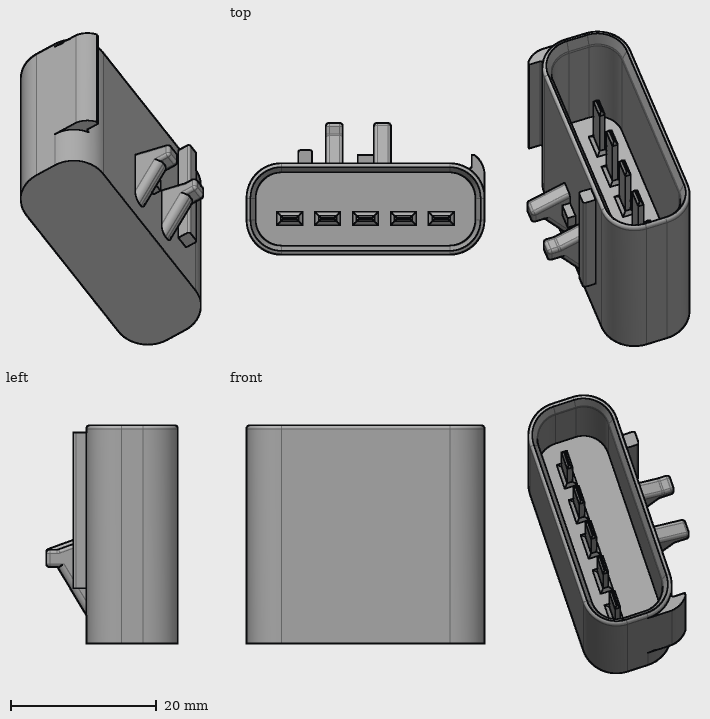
import cadquery as cq
import math

LENGTH = 32.7
DEPTH = 12.6
HEIGHT = 30.0
CORNER_RADIUS = 4.8
WALL = 1.28
RIM_RADIUS = 0.5
FLOOR_Z = 10.0
BACK_Y = DEPTH / 2

LEAD_IN_WIDTH = 0.72
LEAD_IN_HEIGHT = 1.8
LEAD_IN_BLEND = 0.98

PIN_COUNT = 5
PIN_PITCH = 5.2
PIN_Y = -1.3
PIN_LENGTH = 10.0
BLADE_SIZE = (2.5, 0.8)
TIP_BEVEL = 0.3
TIP_HEIGHT = 0.65
COLLAR_BEVEL = 0.52

ROOT_DEPTH = 0.65

GUIDE_BOTTOM_Z = 7.6
GUIDE_TOP_Z = HEIGHT - 1.0
RAIL_X = -8.27
RAIL_WIDTH = 1.93
RAIL_PROJECTION = 1.8
RAIL_EDGE_RADIUS = 0.33
WING_PROJECTION = 1.15
WING_WIDTH = 1.8
WING_TIP_WIDTH = 0.35
WING_ARC_DROP = 1.37
WING_RADIUS = 3.43
WING_ROOT_RADIUS = 0.33

ARM_WIDTH = 2.4
ARM_PROJECTION = 5.53
ARM_BOTTOM_Z = 10.5
ARM_TOP_Z = 12.9
ARM_TOP_ANGLE = 20.0
ARM_EDGE_RADIUS = 0.5
PLAIN_ARM_X = 2.32
STEPPED_ARM_X = -4.3
ARM_STEP = 3.92
ARM_STEP_BLEND = 0.75

STRUT_FOOT_Z = 3.85
STRUT_REACH = 3.95
STRUT_OVERLAP = 1.3
STRUT_EDGE_RADIUS = 0.98

KEY_WIDTH = 2.22
KEY_PROJECTION = 1.15


def rounded_outline(inset, z):
    """Rounded rectangle at height z, lying `inset` inside the shell's outline."""
    outline = cq.Sketch().rect(LENGTH - 2 * inset, DEPTH - 2 * inset)
    outline = outline.vertices().fillet(CORNER_RADIUS - inset)
    return cq.Workplane("XY", origin=(0, 0, z)).placeSketch(outline)


def make_shell():
    shell = rounded_outline(0, 0).extrude(HEIGHT)
    shell = shell.faces(">Z").edges().fillet(RIM_RADIUS)
    shell = shell.cut(rounded_outline(WALL, FLOOR_Z).extrude(HEIGHT - FLOOR_Z))

    lead_in_angle = math.degrees(math.atan(LEAD_IN_WIDTH / LEAD_IN_HEIGHT))
    mouth = rounded_outline(WALL - LEAD_IN_WIDTH, HEIGHT)
    shell = shell.cut(mouth.extrude(-LEAD_IN_HEIGHT, taper=lead_in_angle))

    lead_in_z = HEIGHT - LEAD_IN_HEIGHT
    margin = RIM_RADIUS / 10
    lead_in_zone = cq.selectors.BoxSelector(
        (-LENGTH, -DEPTH, lead_in_z - margin),
        (LENGTH, DEPTH, lead_in_z + margin),
    )
    return shell.edges(lead_in_zone).fillet(LEAD_IN_BLEND)


def frustum(base, bevel, bottom_z, height):
    """Rectangular block that narrows by `bevel` on every side."""
    return (
        cq.Workplane("XY", origin=(0, 0, bottom_z))
        .rect(*base)
        .workplane(offset=height)
        .rect(base[0] - 2 * bevel, base[1] - 2 * bevel)
        .loft(ruled=True)
    )


def make_pin():
    """Flat blade with a bevelled tip and a pyramid-shaped collar at its foot."""
    straight_length = PIN_LENGTH - TIP_HEIGHT
    collar_base = [side + 2 * COLLAR_BEVEL for side in BLADE_SIZE]
    blade = cq.Workplane("XY", origin=(0, 0, FLOOR_Z)).rect(*BLADE_SIZE).extrude(straight_length)
    tip = frustum(BLADE_SIZE, TIP_BEVEL, FLOOR_Z + straight_length, TIP_HEIGHT)
    collar = frustum(collar_base, COLLAR_BEVEL, FLOOR_Z, COLLAR_BEVEL)
    return blade.union(tip).union(collar)


def back_block(left_x, width, projection, bottom_z, top_z):
    """Plain block standing out of the back wall."""
    size = (width, projection + ROOT_DEPTH, top_z - bottom_z)
    corner = (left_x, BACK_Y - ROOT_DEPTH, bottom_z)
    return cq.Workplane("XY", origin=corner).box(*size, centered=False)


def make_rail():
    left_x = RAIL_X - RAIL_WIDTH / 2
    rail = back_block(left_x, RAIL_WIDTH, RAIL_PROJECTION, GUIDE_BOTTOM_Z, GUIDE_TOP_Z)
    return rail.edges("|Z and >Y").fillet(RAIL_EDGE_RADIUS)


def add_wing(body):
    """Add the curved wing on the +X back corner and round its inner root."""
    side_x = LENGTH / 2
    inner_x = side_x - WING_WIDTH
    tip_y = BACK_Y + WING_PROJECTION
    corner_y = BACK_Y - CORNER_RADIUS
    wing = (
        cq.Workplane("XY", origin=(0, 0, GUIDE_BOTTOM_Z))
        .moveTo(inner_x, corner_y)
        .lineTo(side_x, corner_y)
        .lineTo(side_x, BACK_Y - WING_ARC_DROP)
        .radiusArc((inner_x + WING_TIP_WIDTH, tip_y), -WING_RADIUS)
        .lineTo(inner_x, tip_y)
        .close()
        .extrude(GUIDE_TOP_Z - GUIDE_BOTTOM_Z)
    )
    wing = wing.cut(rounded_outline(WALL / 2, 0).extrude(HEIGHT))

    across = inner_x - (side_x - CORNER_RADIUS)
    root_y = corner_y + math.sqrt(CORNER_RADIUS**2 - across**2)
    root = cq.selectors.NearestToPointSelector((inner_x, root_y, (GUIDE_BOTTOM_Z + GUIDE_TOP_Z) / 2))
    return body.union(wing).edges(root).fillet(WING_ROOT_RADIUS)


def side_profile(center_x, points):
    """Extrude a (distance from the back, z) outline across the width of an arm."""
    plane = cq.Workplane("YZ", origin=(center_x - ARM_WIDTH / 2, BACK_Y, 0))
    return plane.polyline(points).close().extrude(ARM_WIDTH)


def make_strut(center_x):
    slope = (ARM_BOTTOM_Z - STRUT_FOOT_Z) / STRUT_REACH
    head_z = ARM_BOTTOM_Z + STRUT_OVERLAP
    points = [
        (-ROOT_DEPTH, STRUT_FOOT_Z - slope * ROOT_DEPTH),
        (STRUT_REACH + STRUT_OVERLAP / slope, head_z),
        (-ROOT_DEPTH, head_z),
    ]
    strut = side_profile(center_x, points)
    sloping_edges = strut.edges("not(|X or |Y or |Z)")
    return sloping_edges.fillet(STRUT_EDGE_RADIUS)


def make_arm(center_x, slope_start):
    """Latch arm whose top climbs towards the wall, starting `slope_start` off the back."""
    root_rise = (slope_start + ROOT_DEPTH) * math.tan(math.radians(ARM_TOP_ANGLE))
    points = [
        (-ROOT_DEPTH, ARM_TOP_Z + root_rise),
        (-ROOT_DEPTH, ARM_BOTTOM_Z),
        (ARM_PROJECTION, ARM_BOTTOM_Z),
        (ARM_PROJECTION, ARM_TOP_Z),
    ]
    stepped = slope_start < ARM_PROJECTION
    if stepped:
        points.append((slope_start, ARM_TOP_Z))
    arm = side_profile(center_x, points)
    if stepped:
        step = cq.selectors.NearestToPointSelector((center_x, BACK_Y + slope_start, ARM_TOP_Z))
        arm = arm.edges(step).fillet(ARM_STEP_BLEND)
    arm = arm.faces(">Y").edges("|X").fillet(ARM_EDGE_RADIUS)
    outer_edges = arm.faces("<X or >X").edges("not(<Y)")
    return outer_edges.fillet(ARM_EDGE_RADIUS).union(make_strut(center_x))


def make_key():
    """Short block filling in beside the plain arm, reaching into its middle."""
    left_x = PLAIN_ARM_X - ARM_WIDTH / 2 - KEY_WIDTH
    width = PLAIN_ARM_X - left_x
    return back_block(left_x, width, KEY_PROJECTION, ARM_BOTTOM_Z, ARM_TOP_Z)


result = add_wing(make_shell())
for index in range(PIN_COUNT):
    pin_x = (index - (PIN_COUNT - 1) / 2) * PIN_PITCH
    result = result.union(make_pin().translate((pin_x, PIN_Y, 0)))
result = result.union(make_rail())
result = result.union(make_arm(PLAIN_ARM_X, ARM_PROJECTION))
result = result.union(make_arm(STEPPED_ARM_X, ARM_STEP))
result = result.union(make_key())